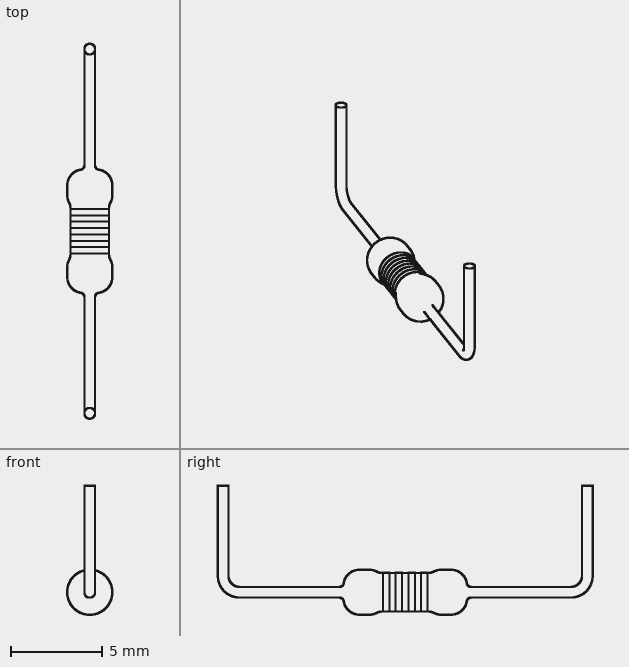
import cadquery as cq
import math

overall_length = 20.6
overall_height = 7.1

wire_diameter = 0.6
bend_radius = 0.9

cap_diameter = 2.5
waist_diameter = 2.12
cap_end = 3.4
dome_start = 2.51
shoulder_start = 1.95
neck_fillet = 0.23

band_diameter = 2.15
band_width = 0.35
band_count = 4

wire_radius = wire_diameter / 2
cap_radius = cap_diameter / 2
waist_radius = waist_diameter / 2
lead_reach = overall_length / 2 - wire_radius
lead_top = overall_height - cap_radius
waist_end = (2 * band_count - 1) * band_width / 2


def make_end_cap():
    """Revolve the +Y end cap and its neck about the Y axis."""
    diagonal = math.sqrt(0.5)
    dome_radius = cap_end - dome_start
    dome_center_x = cap_radius - dome_radius

    neck_base_radius = wire_radius + neck_fillet
    neck_base_y = dome_start + math.sqrt(dome_radius**2 - (neck_base_radius - dome_center_x) ** 2)
    neck_end_y = neck_base_y + neck_fillet
    neck_middle = (
        neck_base_radius - neck_fillet * diagonal,
        neck_end_y - neck_fillet * diagonal,
    )
    shoulder_middle = ((cap_radius + waist_radius) / 2, (shoulder_start + waist_end) / 2)
    shoulder_turn = 2 * math.atan((cap_radius - waist_radius) / (shoulder_start - waist_end))
    shoulder_radius = (shoulder_start - waist_end) / 2 / math.sin(shoulder_turn)
    waist_blend_middle = (
        waist_radius + shoulder_radius * (1 - math.cos(shoulder_turn / 2)),
        waist_end + shoulder_radius * math.sin(shoulder_turn / 2),
    )

    dome_turn = math.acos((neck_base_radius - dome_center_x) / dome_radius) / 2
    dome_middle = (
        dome_center_x + dome_radius * math.cos(dome_turn),
        dome_start + dome_radius * math.sin(dome_turn),
    )

    profile = (
        cq.Workplane("XY")
        .moveTo(0, waist_end)
        .lineTo(waist_radius, waist_end)
        .threePointArc(waist_blend_middle, shoulder_middle)
        .tangentArcPoint((cap_radius, shoulder_start), relative=False)
        .lineTo(cap_radius, dome_start)
        .threePointArc(dome_middle, (neck_base_radius, neck_base_y))
        .threePointArc(neck_middle, (wire_radius, neck_end_y))
        .lineTo(0, neck_end_y)
        .close()
    )
    return profile.revolve(360, (0, 0, 0), (0, 1, 0))


def make_disc(diameter, width, center_y):
    """Disc on the body axis, centred at the given Y."""
    return (
        cq.Workplane("XZ", origin=(0, center_y + width / 2, 0))
        .circle(diameter / 2)
        .extrude(width)
    )


def make_lead():
    """Round wire from the body centre along +Y, bent up to its cut end."""
    bend_start_y = lead_reach - bend_radius
    path = (
        cq.Workplane("YZ")
        .lineTo(bend_start_y, 0)
        .tangentArcPoint((lead_reach, bend_radius), relative=False)
        .lineTo(lead_reach, lead_top)
    )
    return cq.Workplane("XZ").circle(wire_radius).sweep(path)


end_with_lead = make_end_cap().union(make_lead())
waist = make_disc(waist_diameter, 2 * waist_end, 0)
result = waist.union(end_with_lead).union(end_with_lead.mirror("XZ"))

for index in range(band_count):
    band_y = (2 * index - (band_count - 1)) * band_width
    result = result.union(make_disc(band_diameter, band_width, band_y))